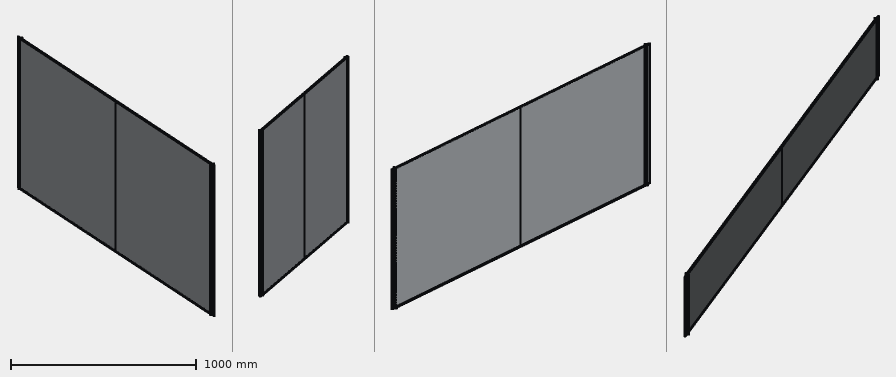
import cadquery as cq

total_length = 1827.0
height = 914.0
flange_depth = 22.0

sheet_thickness = 6.5
tongue_thickness = 4.0
flange_thickness = 4.5
flange_inset = 20.0

half_length = total_length / 2
flange_outer_x = half_length - flange_inset
flange_inner_x = flange_outer_x - flange_thickness
back_face_y = tongue_thickness / 2


def upright_slab(x_start, x_end, back_y, thickness):
    """Full-height slab between two X positions, reaching forward (-Y) from its back face."""
    length = x_end - x_start
    slab = cq.Workplane("XY").box(length, thickness, height, centered=(False, False, True))
    return slab.translate((x_start, back_y - thickness, 0))


def right_panel():
    """Sheet running from the middle joint to a cross flange, with an end tongue beyond it."""
    sheet = upright_slab(0, flange_inner_x, back_face_y, sheet_thickness)
    cross_flange = upright_slab(flange_inner_x, flange_outer_x, flange_depth / 2, flange_depth)
    end_tongue = upright_slab(flange_outer_x, half_length, back_face_y, tongue_thickness)
    return sheet.union(cross_flange).union(end_tongue)


def wall_panel(side):
    """Panel on the +X side (side = 1) or its mirror image on the -X side (side = -1)."""
    panel = right_panel()
    return panel if side > 0 else panel.mirror("YZ")


panels = [wall_panel(side).val() for side in (-1, 1)]

result = cq.Compound.makeCompound(panels)